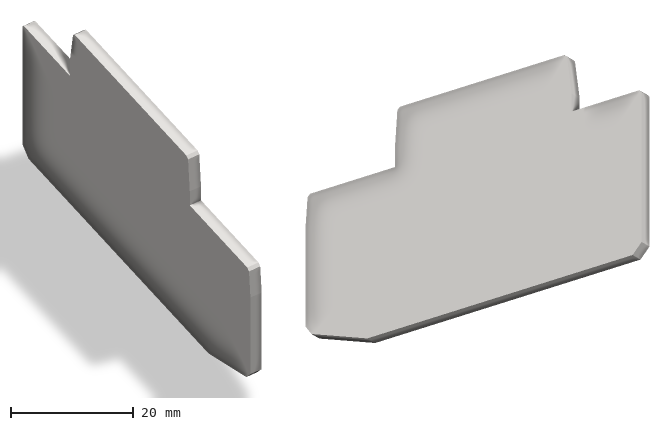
import cadquery as cq

length = 68.2
thickness = 2.2
height = 39.8

shoulder_height = 29.25
bottom_left_chamfer = 1.85
right_taper_start = 23.2
right_taper_inset = 0.5

slope_start_x = 55.65
slope_end_x = 67.0
slope_end_z = 3.95
right_edge_bottom = 5.65

tab_left = 14.2
tab_right = 50.05
tab_taper_start = 32.45
tab_left_inset = 1.0
tab_right_inset = 0.55

corner_bevel = 0.5

outline = [
    (bottom_left_chamfer, 0),
    (slope_start_x, 0),
    (slope_end_x, slope_end_z),
    (length, right_edge_bottom),
    (length, right_taper_start),
    (length - right_taper_inset, shoulder_height),
    (tab_right, shoulder_height),
    (tab_right, tab_taper_start),
    (tab_right - tab_right_inset, height),
    (tab_left + tab_left_inset, height),
    (tab_left, tab_taper_start),
    (tab_left, shoulder_height),
    (0, shoulder_height),
    (0, bottom_left_chamfer),
]

upper_corners = [
    (length - right_taper_inset, shoulder_height),
    (tab_right - tab_right_inset, height),
    (tab_left + tab_left_inset, height),
    (0, shoulder_height),
]

plate = cq.Workplane("XZ").polyline(outline).close().extrude(-thickness)


def bevel_corner(body, corner):
    """Bevel the thickness-wide edge that passes through an outline corner."""
    x, z = corner
    edge = cq.selectors.NearestToPointSelector((x, thickness / 2, z))
    return body.edges(edge).chamfer(corner_bevel)


for upper_corner in upper_corners:
    plate = bevel_corner(plate, upper_corner)

result = plate